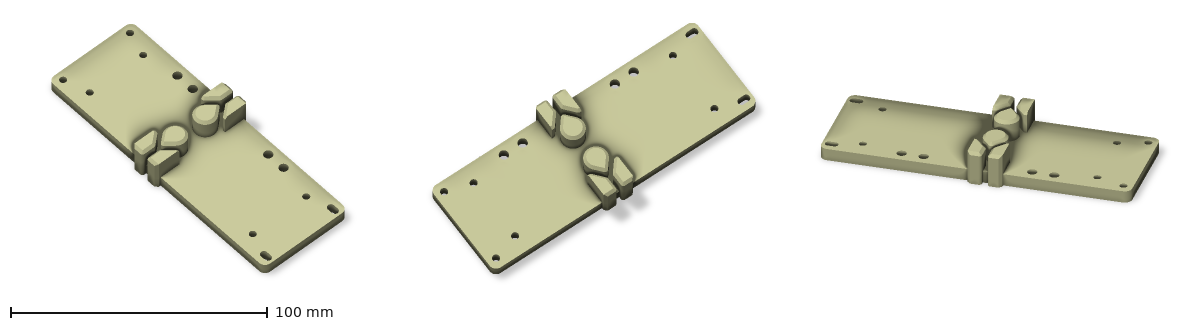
import cadquery as cq
import math

PLATE_LENGTH = 126.0
PLATE_WIDTH = 43.6
PLATE_THICKNESS = 5.0
CORNER_RADIUS = 3.0

SMALL_HOLE_DIAMETER = 3.2
LARGE_HOLE_DIAMETER = 4.0
SLOT_LENGTH = 5.4
CORNER_HOLE_X = 59.1
CORNER_HOLE_Y = 17.5
INNER_HOLE_X = 47.5
INNER_HOLE_Y = 14.0
LARGE_HOLE_X = 26.5
LARGE_HOLE_PITCH = 9.0
LARGE_HOLE_Y = 17.0

CLIP_X = -4.5
CLIP_HEIGHT = 14.0
CLIP_SPAN = 48.0
CLIP_WIDTH = 14.1
EDGE_SIZE = 1.2
JAW_GAP = 2.4
JAW_TIP_Y = 12.0
JAW_BEND_Y = 17.8
POST_Y = 7.8
POST_RADIUS = 5.0
FLANK_ANGLE = math.radians(40)


def make_plate():
    return (
        cq.Workplane("XY")
        .rect(PLATE_LENGTH, PLATE_WIDTH)
        .extrude(PLATE_THICKNESS)
        .edges("|Z")
        .fillet(CORNER_RADIUS)
    )


def make_holes():
    small_points = [(-CORNER_HOLE_X, side * CORNER_HOLE_Y) for side in (-1, 1)]
    small_points += [
        (x, y)
        for x in (-INNER_HOLE_X, INNER_HOLE_X)
        for y in (-INNER_HOLE_Y, INNER_HOLE_Y)
    ]
    slot_points = [(CORNER_HOLE_X, side * CORNER_HOLE_Y) for side in (-1, 1)]
    large_points = [
        (side * LARGE_HOLE_X + offset, LARGE_HOLE_Y)
        for side in (-1, 1)
        for offset in (-LARGE_HOLE_PITCH / 2, LARGE_HOLE_PITCH / 2)
    ]
    base = cq.Workplane("XY")
    small_holes = base.pushPoints(small_points).circle(SMALL_HOLE_DIAMETER / 2).extrude(PLATE_THICKNESS)
    large_holes = base.pushPoints(large_points).circle(LARGE_HOLE_DIAMETER / 2).extrude(PLATE_THICKNESS)
    slots = base.pushPoints(slot_points).slot2D(SLOT_LENGTH, SMALL_HOLE_DIAMETER).extrude(PLATE_THICKNESS)
    return small_holes.union(large_holes).union(slots)


def bevelled_prism(draw_top):
    """Prism whose sharp-cornered flat top spreads down a 45 degree bevel to a rounded outline."""
    shoulder_height = CLIP_HEIGHT - EDGE_SIZE
    body = draw_top(cq.Workplane("XY")).offset2D(EDGE_SIZE, "arc").extrude(shoulder_height)
    bevel = draw_top(cq.Workplane("XY", origin=(0, 0, CLIP_HEIGHT))).extrude(-EDGE_SIZE, taper=-45)
    return body.union(bevel)


def draw_post_top(plane):
    radius = POST_RADIUS - EDGE_SIZE
    tangent_x = radius * math.cos(FLANK_ANGLE)
    tangent_y = POST_Y + radius * math.sin(FLANK_ANGLE)
    apex_y = POST_Y + radius / math.sin(FLANK_ANGLE)
    return (
        plane.moveTo(0, apex_y)
        .lineTo(-tangent_x, tangent_y)
        .threePointArc((0, POST_Y - radius), (tangent_x, tangent_y))
        .close()
    )


def draw_jaw_top(plane):
    gap_x = JAW_GAP / 2 + EDGE_SIZE
    side_x = CLIP_WIDTH / 2
    tip_y = JAW_TIP_Y + EDGE_SIZE
    end_y = CLIP_SPAN / 2 - EDGE_SIZE
    tip_x = gap_x + (JAW_BEND_Y - tip_y) * math.tan(FLANK_ANGLE)
    return plane.polyline(
        [(gap_x, end_y), (gap_x, JAW_BEND_Y), (tip_x, tip_y), (side_x, tip_y), (side_x, end_y)]
    ).close()


def make_jaw():
    side_x = CLIP_WIDTH / 2
    end_y = CLIP_SPAN / 2
    envelope = (
        cq.Workplane("XY")
        .polyline(
            [(0, 0), (side_x, 0), (side_x, end_y - EDGE_SIZE), (side_x - EDGE_SIZE, end_y), (0, end_y)]
        )
        .close()
        .extrude(CLIP_HEIGHT)
    )
    return bevelled_prism(draw_jaw_top).intersect(envelope)


def make_clip():
    jaw = make_jaw()
    return bevelled_prism(draw_post_top).union(jaw).union(jaw.mirror("YZ")).translate((CLIP_X, 0, 0))


clip = make_clip()
result = make_plate().cut(make_holes()).union(clip).union(clip.mirror("XZ"))